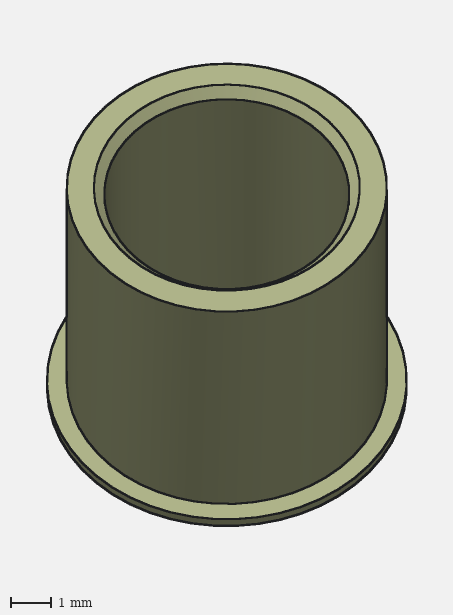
import cadquery as cq

flange_diameter = 8.94
body_diameter = 7.96
bore_diameter = 6.09
total_height = 7.82
flange_thickness = 0.27
bore_chamfer = 0.26

flange = cq.Workplane("XY").circle(flange_diameter / 2).extrude(flange_thickness)

body = cq.Workplane("XY").circle(body_diameter / 2).extrude(total_height)

bore = cq.Workplane("XY").circle(bore_diameter / 2).extrude(total_height)
bushing = flange.union(body).cut(bore)
bore_rim = cq.selectors.RadiusNthSelector(0)
result = bushing.faces(">Z").edges(bore_rim).chamfer(bore_chamfer)